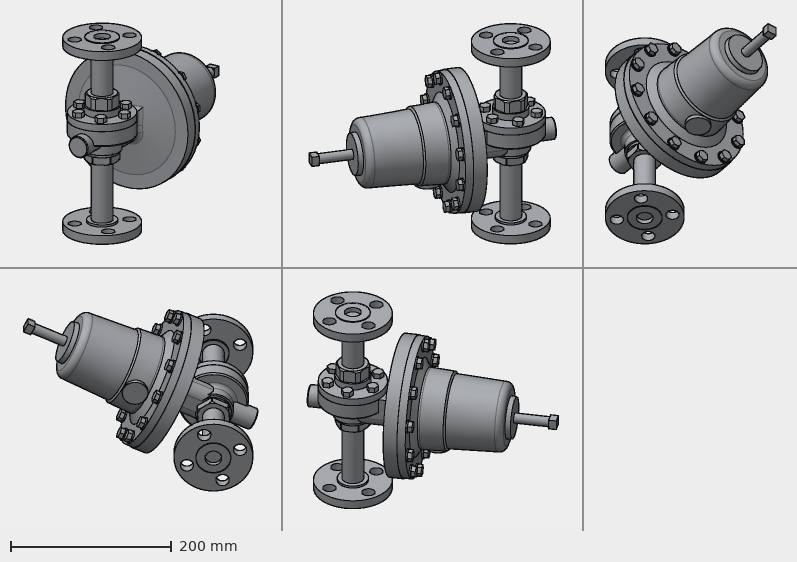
import cadquery as cq
import math


face_to_face = 260.5
face_to_center = face_to_face / 2
raised_face_radius = 21.8
raised_face_height = 1.3
flange_radius = 49.3
flange_thickness = 11.7
flange_hub_radius = 19.5
flange_hub_height = 2.8
pipe_diameter = 27.5
bore_radius = 10.5
bore_depth = 6.3
flange_hole_radius = 8.2
flange_hole_circle = 35.0
flange_hole_count = 4
flange_first_hole = 45

bowl_radius = 43.5
cap_radius = 43.3
body_bottom = -1.0
body_edge_chamfer = 2.0
cap_bottom = 19.5
cap_top = 29.5
cap_bolt_circle = 33.0
cap_bolt_count = 6
cap_bolt_flats = 13.0
cap_bolt_height = 6.5
collar_radius = 22.7
collar_top = 38.5
nut_flats = 39.5
top_nut_end = 55.3
top_nut_round = 21.0
bottom_hub_radius = 25.0
bottom_hub_fillet = 5.5
bottom_hub_end = -19.5
bottom_ring_radius = 22.5
bottom_ring_end = -23.7
bottom_nut_end = -34.5
bottom_nut_round = 22.5
nut_chamfer = 2.0
plug_diameter = 28.0
plug_end = -55.5
plug_chamfer = 1.3

neck_width = 45.0
neck_corner_radius = 13.5
neck_flare = 5.5

casing_radius = 90.5
casing_cone_apex = 47.7
casing_cone_radius = 72.0
casing_bottom = 56.8
casing_joint = 74.5
cover_joint_radius = 90.0
cover_top_radius = 89.7
cover_top = 85.0
skirt_foot_radius = 63.0
skirt_foot_top = 92.5
skirt_bottom_radius = 51.8
skirt_taper_start = 95.0
skirt_top_radius = 50.2
skirt_top = 125.0
bonnet_bottom_radius = 47.5
bonnet_bottom = 127.2
bonnet_top_radius = 44.5
bonnet_shoulder = 189.5
bonnet_top = 199.2
bonnet_flat_radius = 36.5
end_boss_bottom_radius = 27.5
end_boss_top_radius = 26.5
end_boss_top = 206.0
spindle_width = 13.0
square_length = 9.8
spindle_end = 260.0

casing_bolt_count = 12
casing_bolt_circle = 81.8
casing_bolt_flats = 13.3
casing_bolt_top = 92.5
casing_bolt_twist = 15
bolt_washer_radius = 8.2
bolt_washer_height = 2.0

vent_y = 108.5
vent_radius = 16.0
vent_bottom = -54.0


def disc(radius, z_low, z_high):
    """Cylinder about the Z axis between two heights."""
    return cq.Workplane("XY").workplane(offset=z_low).circle(radius).extrude(z_high - z_low)


def hex_prism(flats, height):
    """Hexagon standing on z = 0 with two corners on the Y axis."""
    corner_diameter = flats / math.cos(math.pi / 6)
    half_step = 30
    return (
        cq.Workplane("XY").polygon(6, corner_diameter).extrude(height)
        .rotate((0, 0, 0), (0, 0, 1), half_step)
    )


def hex_nut(round_radius, height):
    """Pipe nut: a hexagon trimmed by a cylinder whose top rim is chamfered."""
    trim = disc(round_radius, 0, height).faces(">Z").chamfer(nut_chamfer)
    return hex_prism(nut_flats, height).intersect(trim)


def make_pipe_stub(pipe_start):
    """Upward pipe stub from height pipe_start with a flange at its far end."""
    flange_top = face_to_center - raised_face_height
    flange_bottom = flange_top - flange_thickness
    hub_bottom = flange_bottom - flange_hub_height
    stub = disc(pipe_diameter / 2, pipe_start, flange_bottom)
    stub = stub.union(disc(flange_hub_radius, hub_bottom, flange_bottom))
    flange = disc(flange_radius, flange_bottom, flange_top)
    holes = (
        cq.Workplane("XY").workplane(offset=flange_bottom)
        .polarArray(flange_hole_circle, flange_first_hole, 360, flange_hole_count)
        .circle(flange_hole_radius).extrude(flange_thickness)
    )
    stub = stub.union(flange.cut(holes))
    stub = stub.union(disc(raised_face_radius, flange_top, face_to_center))
    return stub.cut(disc(bore_radius, face_to_center - bore_depth, face_to_center))


def make_valve_body():
    """Bowl, bolted cap, hubs and nuts along the pipe axis, with the plug facing -Y."""
    bowl = disc(bowl_radius, body_bottom, cap_bottom).faces("<Z").chamfer(body_edge_chamfer)
    body = bowl.union(disc(cap_radius, cap_bottom, cap_top))
    body = body.union(disc(collar_radius, cap_top, collar_top))

    fillet_end = body_bottom - bottom_hub_fillet
    fillet_rim = bottom_hub_radius + bottom_hub_fillet
    arc_inset = bottom_hub_fillet * (1 - math.sqrt(0.5))
    bottom_hub = (
        cq.Workplane("XZ")
        .moveTo(0, cap_bottom)
        .lineTo(bottom_hub_radius, cap_bottom)
        .lineTo(bottom_hub_radius, body_bottom)
        .lineTo(fillet_rim, body_bottom)
        .threePointArc((bottom_hub_radius + arc_inset, body_bottom - arc_inset),
                       (bottom_hub_radius, fillet_end))
        .lineTo(bottom_hub_radius, bottom_hub_end)
        .lineTo(bottom_ring_radius, bottom_hub_end)
        .lineTo(bottom_ring_radius, bottom_ring_end)
        .lineTo(0, bottom_ring_end)
        .close()
        .revolve(360, (0, 0, 0), (0, 1, 0))
    )
    body = body.union(bottom_hub)

    top_nut = hex_nut(top_nut_round, top_nut_end - collar_top)
    body = body.union(top_nut.translate((0, 0, collar_top)))
    bottom_nut = hex_nut(bottom_nut_round, bottom_ring_end - bottom_nut_end)
    bottom_nut = bottom_nut.rotate((0, 0, 0), (1, 0, 0), 180)
    body = body.union(bottom_nut.translate((0, 0, bottom_ring_end)))

    bolt = hex_prism(cap_bolt_flats, cap_bolt_height)
    for i in range(cap_bolt_count):
        angle = 2 * math.pi * i / cap_bolt_count
        place = (cap_bolt_circle * math.cos(angle), cap_bolt_circle * math.sin(angle), cap_top)
        body = body.union(bolt.translate(place))

    plug = cq.Workplane("XZ").circle(plug_diameter / 2).extrude(-plug_end).faces("<Y").chamfer(plug_chamfer)
    return body.union(plug)


def make_neck():
    """Neck along +Y with a flat top and rounded lower corners."""
    height = cap_bottom - bottom_ring_end
    return (
        cq.Workplane("XZ", origin=(0, 0, (cap_bottom + bottom_ring_end) / 2))
        .rect(neck_width, height)
        .extrude(-casing_bottom)
        .edges("|Y and <Z")
        .fillet(neck_corner_radius)
    )


def flare_neck(casing_with_neck):
    """Round the inside corner where the neck meets the casing cone."""
    reach = neck_width
    corner_box = cq.selectors.BoxSelector(
        (-reach, casing_cone_apex, -reach), (reach, casing_bottom - neck_flare / 2, reach), boundingbox=True
    )
    return casing_with_neck.edges(corner_box).fillet(neck_flare)


def make_casing():
    """Turned diaphragm casing and bonnet, revolved about the Y axis."""
    shoulder_mid = (
        bonnet_flat_radius + (bonnet_top_radius - bonnet_flat_radius) * math.sqrt(0.5),
        bonnet_shoulder + (bonnet_top - bonnet_shoulder) * math.sqrt(0.5),
    )
    return (
        cq.Workplane("XY")
        .moveTo(0, casing_cone_apex)
        .lineTo(casing_cone_radius, casing_bottom)
        .lineTo(casing_radius, casing_bottom)
        .lineTo(casing_radius, casing_joint)
        .lineTo(cover_joint_radius, casing_joint)
        .lineTo(cover_top_radius, cover_top)
        .lineTo(skirt_foot_radius, cover_top)
        .lineTo(skirt_bottom_radius, skirt_foot_top)
        .lineTo(skirt_bottom_radius, skirt_taper_start)
        .lineTo(skirt_top_radius, skirt_top)
        .lineTo(bonnet_bottom_radius, bonnet_bottom)
        .lineTo(bonnet_top_radius, bonnet_shoulder)
        .threePointArc(shoulder_mid, (bonnet_flat_radius, bonnet_top))
        .lineTo(end_boss_bottom_radius, bonnet_top)
        .lineTo(end_boss_top_radius, end_boss_top)
        .lineTo(0, end_boss_top)
        .close()
        .revolve(360, (0, 0, 0), (0, 1, 0))
    )


def make_casing_bolts():
    """Ring of flanged hexagon heads on the cover, about the Y axis."""
    head = hex_prism(casing_bolt_flats, casing_bolt_top - cover_top)
    head = head.union(disc(bolt_washer_radius, 0, bolt_washer_height))
    head = head.rotate((0, 0, 0), (1, 0, 0), -90).rotate((0, 0, 0), (0, 1, 0), casing_bolt_twist)
    pitch = 360 / casing_bolt_count
    head_on_circle = head.translate((casing_bolt_circle, cover_top, 0))
    bolts = []
    for i in range(casing_bolt_count):
        bolts.append(head_on_circle.rotate((0, 0, 0), (0, 1, 0), (i + 0.5) * pitch))
    return bolts


def make_spindle():
    """Adjusting spindle with a square end."""
    square_start = spindle_end - square_length
    rod = (
        cq.Workplane("XZ", origin=(0, end_boss_top, 0))
        .circle(spindle_width / 2).extrude(end_boss_top - square_start)
    )
    square = (
        cq.Workplane("XZ", origin=(0, square_start, 0))
        .rect(spindle_width, spindle_width).extrude(-square_length)
    )
    return rod.union(square)


def make_regulator():
    """Valve body, neck, casing, bolts, vent boss and spindle as one solid."""
    casing = flare_neck(make_casing().union(make_neck()))
    regulator = make_valve_body().union(casing).union(make_spindle())
    for bolt in make_casing_bolts():
        regulator = regulator.union(bolt)
    vent_boss = (
        cq.Workplane("XY", origin=(0, vent_y, vent_bottom))
        .circle(vent_radius).extrude(-vent_bottom)
    )
    return regulator.union(vent_boss)


regulator = make_regulator()
upper_pipe = make_pipe_stub(top_nut_end)
lower_pipe = make_pipe_stub(-bottom_nut_end).mirror("XY")

result = cq.Compound.makeCompound([regulator.val(), upper_pipe.val(), lower_pipe.val()])